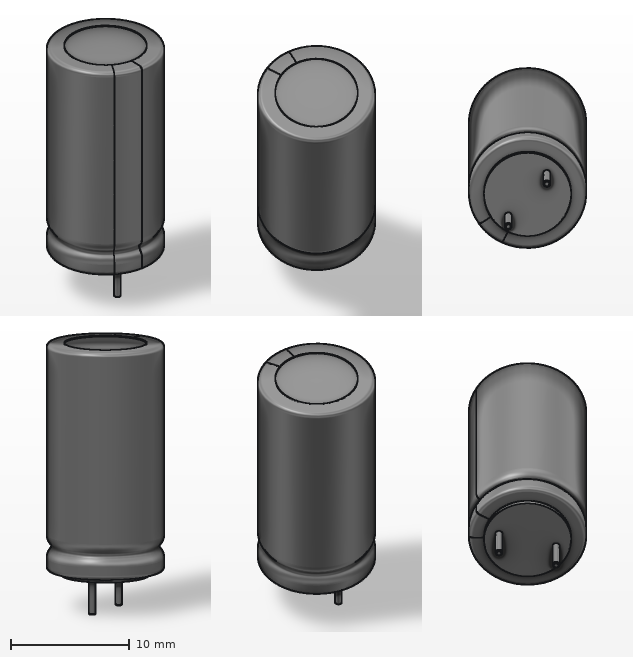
import cadquery as cq
import math

sleeve_diameter = 10.0
overall_top = 20.0
sleeve_bottom = 0.4
wall = 0.1
edge_radius = 0.4

top_opening_diameter = 7.0
base_diameter = 7.4

groove_center = 2.5
groove_half_height = 1.0
groove_depth = 0.4
groove_hollow_radius = 0.4

stripe_angle = 30.0

pin_diameter = 0.6
pin_pitch = 5.0
pin_length = 3.0
pin_chamfer = 0.1

sleeve_radius = sleeve_diameter / 2
can_bottom = sleeve_bottom + wall
groove_slope = 2 * math.atan(groove_depth / groove_half_height)
groove_bulge_radius = groove_half_height / math.sin(groove_slope) - groove_hollow_radius


def can_profile(inset):
    """Half section of the grooved cylinder, in the XZ plane, shrunk inwards by `inset`."""
    radius = sleeve_radius - inset
    bottom = sleeve_bottom + inset
    top = overall_top - inset
    rim = edge_radius - inset
    rim_middle = rim * (1 - math.cos(math.pi / 4))
    hollow = groove_hollow_radius + inset
    bulge = groove_bulge_radius - inset

    bulge_height = bulge * math.sin(groove_slope)
    hollow_height = hollow * math.sin(groove_slope)
    groove_bottom = groove_center - bulge_height - hollow_height
    groove_top = groove_center + bulge_height + hollow_height
    bulge_drop = bulge * (1 - math.cos(groove_slope))
    half_bulge_height = bulge * math.sin(groove_slope / 2)
    half_bulge_drop = bulge * (1 - math.cos(groove_slope / 2))
    groove_floor_radius = radius - groove_depth

    return (
        cq.Workplane("XZ")
        .moveTo(0, bottom)
        .lineTo(radius - rim, bottom)
        .threePointArc((radius - rim_middle, bottom + rim_middle), (radius, bottom + rim))
        .lineTo(radius, groove_bottom)
        .threePointArc(
            (radius - half_bulge_drop, groove_bottom + half_bulge_height),
            (radius - bulge_drop, groove_center - hollow_height),
        )
        .threePointArc(
            (groove_floor_radius, groove_center),
            (radius - bulge_drop, groove_center + hollow_height),
        )
        .threePointArc(
            (radius - half_bulge_drop, groove_top - half_bulge_height),
            (radius, groove_top),
        )
        .lineTo(radius, top - rim)
        .threePointArc((radius - rim_middle, top - rim_middle), (radius - rim, top))
        .lineTo(0, top)
        .close()
    )


def make_can():
    """Grooved can that fills the wrap."""
    return can_profile(wall).revolve(360, (0, 0), (0, 1))


def make_opening(bottom, diameter):
    """Disc to cut out of an end of the wrap, as deep as the wrap is thick."""
    return cq.Workplane("XY").workplane(offset=bottom).circle(diameter / 2).extrude(wall)


def make_wrap(start_angle, sweep_angle):
    """Sector of the thin wrap around the can, open in the middle of both ends."""
    outside = can_profile(0).revolve(sweep_angle, (0, 0), (0, 1))
    bottom_opening = make_opening(sleeve_bottom, base_diameter)
    top_opening = make_opening(overall_top - wall, top_opening_diameter)
    wrap = outside.rotate((0, 0, 0), (0, 0, 1), start_angle)
    return wrap.cut(make_can()).cut(bottom_opening).cut(top_opening)


def make_base():
    """Rubber disc under the can, with a hole for each pin."""
    return (
        cq.Workplane("XY")
        .circle(base_diameter / 2)
        .extrude(can_bottom)
        .faces("<Z")
        .workplane(origin=(0, 0, 0))
        .rarray(pin_pitch, 1, 2, 1)
        .hole(pin_diameter)
    )


def make_pin(x):
    """Pin that runs through the base up to the can, with a chamfered tip."""
    return (
        cq.Workplane("XY")
        .workplane(offset=-pin_length)
        .center(x, 0)
        .circle(pin_diameter / 2)
        .extrude(pin_length + can_bottom)
        .faces("<Z")
        .chamfer(pin_chamfer)
    )


sleeve = make_wrap(stripe_angle / 2, 360 - stripe_angle)
stripe = make_wrap(-stripe_angle / 2, stripe_angle)
can = make_can()
base = make_base()
pins = [make_pin(side * pin_pitch / 2) for side in (-1, 1)]

result = cq.Compound.makeCompound(
    [sleeve.val(), stripe.val(), can.val(), base.val(), *[pin.val() for pin in pins]]
)